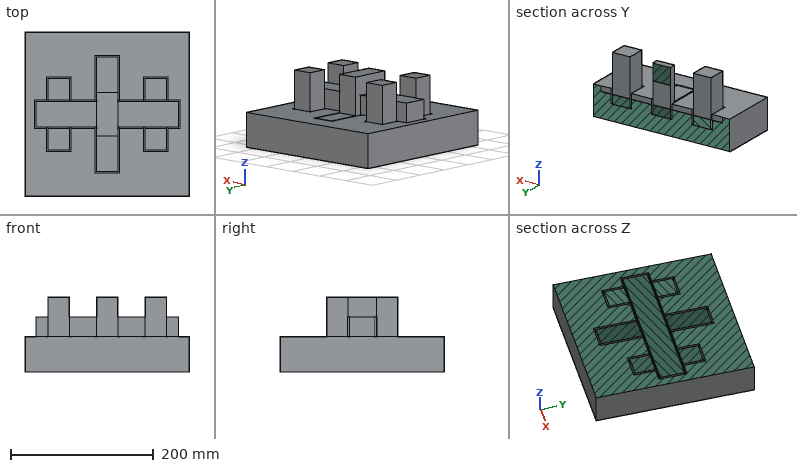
import cadquery as cq

base_side = 230.0
base_height = 50.0
overall_height = 105.0
clearance = 2.0

bar_length = 200.0
bar_width = 36.0
bar_top = base_height + 27.5
bar_height = bar_width
bar_bottom = bar_top - bar_height

opening_width = bar_width + 2 * clearance

seat_depth = 23.0
seat_floor = base_height - seat_depth

yoke_thickness = 30.0
yoke_width = 100.0
yoke_offset = 68.0
yoke_positions = [-yoke_offset, yoke_offset]

cross_thickness = 30.0
foot_length = 161.0
cross_block_width = 61.0


def block(length, width, bottom, top, x=0.0):
    """Box centred on Y = 0, spanning the heights from bottom to top."""
    body = cq.Workplane("XY").box(length, width, top - bottom, centered=(True, True, False))
    return body.translate((x, 0, bottom))


def seat(length, width, floor, x=0.0):
    """Cutter for a recess in the base with clearance all round."""
    return block(length + 2 * clearance, width + 2 * clearance, floor, base_height, x)


def make_base():
    base = block(base_side, base_side, 0.0, base_height)
    base = base.cut(seat(bar_length, bar_width, bar_bottom))
    base = base.cut(seat(cross_thickness, foot_length, seat_floor))
    for x in yoke_positions:
        base = base.cut(seat(yoke_thickness, yoke_width, seat_floor, x))
    return base


def make_bar():
    return block(bar_length, bar_width, bar_bottom, bar_top)


def make_yoke(x):
    """Two posts joined below the bar, open at the top."""
    body = block(yoke_thickness, yoke_width, seat_floor, overall_height, x)
    return body.cut(block(yoke_thickness, opening_width, bar_bottom, overall_height, x))


def make_crosspiece():
    """Inverted T with a window that closes directly on the top of the bar."""
    foot = block(cross_thickness, foot_length, seat_floor, base_height)
    upper_block = block(cross_thickness, cross_block_width, base_height, overall_height)
    window = block(cross_thickness, opening_width, bar_bottom, bar_top)
    return foot.union(upper_block).cut(window)


base = make_base()
bar = make_bar()
crosspiece = make_crosspiece()
yokes = [make_yoke(x) for x in yoke_positions]

result = cq.Compound.makeCompound(
    [base.val(), bar.val(), crosspiece.val(), *[yoke.val() for yoke in yokes]]
)